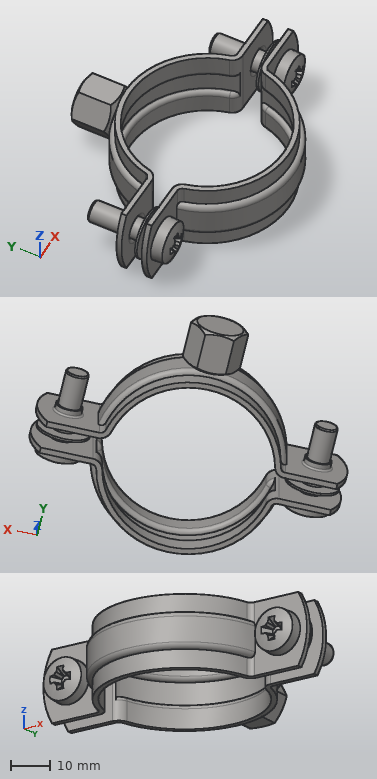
import cadquery as cq
import math


strap_width = 20.0
strap_thickness = 1.5
pipe_radius = 22.0
ring_radius = pipe_radius + strap_thickness
ear_gap = 5.8
ear_inner_y = ear_gap / 2
ear_outer_y = ear_inner_y + strap_thickness
clamp_length = 81.1
ear_tip_x = clamp_length / 2
ear_end_radius = 20.0
bend_inner_radius = 1.5
bend_outer_radius = bend_inner_radius + strap_thickness

bead_half_width = 5.0
bead_radius = ring_radius + strap_thickness
groove_half_width = 3.15
groove_lip_radius = 1.25

screw_x = 32.5
shaft_diameter = 6.0
shaft_tip_diameter = 5.5
shaft_tip_chamfer_length = 0.45
shaft_end_y = 15.5
head_base_diameter = 12.0
head_rim_diameter = 11.6
head_rim_y = -7.6
head_top_y = -9.0

recess_span = 6.8
recess_arm_width = 2.0
recess_floor_diameter = 2.6
recess_floor_arm_width = 1.2
recess_core_diameter = 4.0
recess_depth = 3.0

collar_diameter = 7.0
collar_end_y = 6.15
collar_fillet = 0.5
collar_mouth_radius = 1.2
washer_diameter = 14.0
washer_thickness = 0.6
washer_low_y = -1.0

nut_across_flats = 13.0
nut_corner_radius = nut_across_flats / math.sqrt(3)
nut_end_y = 36.0
nut_end_face_radius = 6.05
nut_seat_radius = 5.5
nut_lower_corner_y = 25.85
nut_chamfer_slope = math.tan(math.radians(30))


def revolve_about_y(profile):
    """Revolve a profile drawn in the XY plane about the Y axis."""
    return profile.close().revolve(360, (0, 0, 0), (0, 1, 0))


def above(y):
    """Large block holding everything beyond the given Y."""
    size = 2 * clamp_length
    return cq.Workplane("XY").box(size, size, size, centered=(True, False, True)).translate((0, y, 0))


def strap_outline():
    """Edge outline of one half: ear, bend, half ring, bend, ear."""
    bend_y = ear_outer_y + bend_inner_radius
    bend_distance = ring_radius + bend_inner_radius
    bend_x = math.sqrt(bend_distance**2 - bend_y**2)
    ring_angle = math.atan2(bend_y, bend_x)
    middle_angle = (math.pi + ring_angle + 1.5 * math.pi) / 2

    def ring_point(radius):
        return radius * math.cos(ring_angle), radius * math.sin(ring_angle)

    def bend_middle(radius):
        return bend_x + radius * math.cos(middle_angle), bend_y + radius * math.sin(middle_angle)

    def mirrored(point):
        return -point[0], point[1]

    outer_middle = bend_middle(bend_inner_radius)
    inner_middle = bend_middle(bend_outer_radius)
    outer_ring = ring_point(ring_radius)
    inner_ring = ring_point(pipe_radius)
    return (
        cq.Workplane("XY")
        .moveTo(ear_tip_x, ear_inner_y)
        .lineTo(ear_tip_x, ear_outer_y)
        .lineTo(bend_x, ear_outer_y)
        .threePointArc(outer_middle, outer_ring)
        .threePointArc((0, ring_radius), mirrored(outer_ring))
        .threePointArc(mirrored(outer_middle), (-bend_x, ear_outer_y))
        .lineTo(-ear_tip_x, ear_outer_y)
        .lineTo(-ear_tip_x, ear_inner_y)
        .lineTo(-bend_x, ear_inner_y)
        .threePointArc(mirrored(inner_middle), mirrored(inner_ring))
        .threePointArc((0, pipe_radius), inner_ring)
        .threePointArc(inner_middle, (bend_x, ear_inner_y))
        .close()
    )


def ear_end_envelope():
    """Block seen along Y as the strap with its two ends rounded."""
    ear_end_sagitta = ear_end_radius - math.sqrt(ear_end_radius**2 - (strap_width / 2) ** 2)
    corner_x = ear_tip_x - ear_end_sagitta
    corner_z = strap_width / 2
    return (
        cq.Workplane("XZ")
        .moveTo(-corner_x, -corner_z)
        .lineTo(corner_x, -corner_z)
        .threePointArc((ear_tip_x, 0), (corner_x, corner_z))
        .lineTo(-corner_x, corner_z)
        .threePointArc((-ear_tip_x, 0), (-corner_x, -corner_z))
        .close()
        .extrude(bead_radius, both=True)
    )


def bead_solid():
    """Raised band on the outside of the ring, rounded along both edges."""
    rounding = bead_radius - ring_radius
    diagonal = rounding * math.sqrt(0.5)
    flat_z = bead_half_width - rounding
    root_radius = (pipe_radius + ring_radius) / 2
    return (
        cq.Workplane("XZ")
        .moveTo(root_radius, -bead_half_width)
        .lineTo(ring_radius, -bead_half_width)
        .threePointArc((ring_radius + diagonal, -flat_z - diagonal), (bead_radius, -flat_z))
        .lineTo(bead_radius, flat_z)
        .threePointArc((ring_radius + diagonal, flat_z + diagonal), (ring_radius, bead_half_width))
        .lineTo(root_radius, bead_half_width)
        .close()
        .revolve(360, (0, 0, 0), (0, 1, 0))
    )


def groove_cutter():
    """Disc that hollows the inside of the strap behind the bead."""
    return (
        cq.Workplane("XZ")
        .moveTo(0, -groove_half_width)
        .lineTo(ring_radius, -groove_half_width)
        .lineTo(ring_radius, groove_half_width)
        .lineTo(0, groove_half_width)
        .close()
        .revolve(360, (0, 0, 0), (0, 1, 0))
    )


def half_strap():
    """The +Y half of the clamp band, with rounded lips along the groove."""
    strap = strap_outline().extrude(strap_width / 2, both=True).intersect(ear_end_envelope())
    bead = bead_solid().intersect(above(ear_outer_y))
    grooved = strap.union(bead).cut(groove_cutter())
    tolerance = 0.01
    lips = [
        edge
        for edge in grooved.edges("%CIRCLE").vals()
        if abs(abs(edge.Center().z) - groove_half_width) < tolerance
        and min(abs(edge.radius() - pipe_radius), abs(edge.radius() - bend_outer_radius)) < tolerance
    ]
    return grooved.newObject(lips).fillet(groove_lip_radius)


def screw_body():
    """Screw on the Y axis: domed head, shaft and chamfered tip."""
    shaft_radius = shaft_diameter / 2
    rim_radius = head_rim_diameter / 2
    dome_height = head_rim_y - head_top_y
    dome_radius = (rim_radius**2 + dome_height**2) / (2 * dome_height)
    dome_middle_x = rim_radius / 2
    dome_middle_y = head_top_y + dome_radius - math.sqrt(dome_radius**2 - dome_middle_x**2)
    profile = (
        cq.Workplane("XY")
        .moveTo(0, head_top_y)
        .threePointArc((dome_middle_x, dome_middle_y), (rim_radius, head_rim_y))
        .lineTo(head_base_diameter / 2, -ear_outer_y)
        .lineTo(shaft_radius, -ear_outer_y)
        .lineTo(shaft_radius, shaft_end_y - shaft_tip_chamfer_length)
        .lineTo(shaft_tip_diameter / 2, shaft_end_y)
        .lineTo(0, shaft_end_y)
    )
    return revolve_about_y(profile)


def recess_cutter():
    """Tapered cross recess: two crossed wedges around a conical core."""
    start = cq.Workplane("XZ", origin=(0, head_top_y, 0))

    def wedge(turn):
        arm = (
            start.rect(recess_span, recess_arm_width)
            .workplane(offset=-recess_depth)
            .rect(recess_floor_diameter, recess_floor_arm_width)
            .loft(ruled=True)
        )
        return arm.rotate((0, 0, 0), (0, 1, 0), turn)

    core = (
        start.circle(recess_core_diameter / 2)
        .workplane(offset=-recess_depth)
        .circle(recess_floor_diameter / 2)
        .loft(ruled=True)
    )
    return core.union(wedge(0)).union(wedge(90))


def collar():
    """Threaded collar standing on the +Y ear, filleted at its root."""
    radius = collar_diameter / 2
    root_arc_offset = collar_fillet * (1 - math.sqrt(0.5))
    profile = (
        cq.Workplane("XY")
        .moveTo(0, ear_outer_y)
        .lineTo(radius + collar_fillet, ear_outer_y)
        .threePointArc(
            (radius + root_arc_offset, ear_outer_y + root_arc_offset),
            (radius, ear_outer_y + collar_fillet),
        )
        .lineTo(radius, collar_end_y)
        .lineTo(0, collar_end_y)
    )
    return revolve_about_y(profile)


def collar_mouth(x):
    """Rounded mouth around the shaft where it enters the +Y ear."""
    shaft_radius = shaft_diameter / 2
    mouth_arc_offset = collar_mouth_radius * (1 - math.sqrt(0.5))
    profile = (
        cq.Workplane("XY")
        .moveTo(0, ear_inner_y)
        .lineTo(shaft_radius + collar_mouth_radius, ear_inner_y)
        .threePointArc(
            (shaft_radius + mouth_arc_offset, ear_inner_y + mouth_arc_offset),
            (shaft_radius, ear_inner_y + collar_mouth_radius),
        )
        .lineTo(0, ear_inner_y + collar_mouth_radius)
    )
    return revolve_about_y(profile).translate((x, 0, 0))


def washer():
    """Thin retaining washer on the shaft between the ears."""
    profile = cq.Workplane("XZ", origin=(0, washer_low_y, 0)).circle(washer_diameter / 2)
    return profile.extrude(-washer_thickness)


def fastener(x):
    """Screw with its recess, collar and washer, placed at the given X."""
    screw = screw_body().cut(recess_cutter())
    return screw.union(collar()).union(washer()).translate((x, 0, 0))


def nut():
    """Hexagonal nut whose conical lower end is seated on the bead."""
    seat_y = nut_lower_corner_y - (nut_corner_radius - nut_seat_radius) * nut_chamfer_slope
    upper_corner_y = nut_end_y - (nut_corner_radius - nut_end_face_radius) * nut_chamfer_slope
    hexagon = (
        cq.Workplane("XZ", origin=(0, seat_y, 0))
        .polygon(6, 2 * nut_corner_radius)
        .extrude(seat_y - nut_end_y)
    )
    envelope = (
        cq.Workplane("XY")
        .moveTo(0, seat_y)
        .lineTo(nut_seat_radius, seat_y)
        .lineTo(nut_corner_radius, nut_lower_corner_y)
        .lineTo(nut_corner_radius, upper_corner_y)
        .lineTo(nut_end_face_radius, nut_end_y)
        .lineTo(0, nut_end_y)
    )
    return hexagon.intersect(revolve_about_y(envelope))


upper_half = half_strap()
lower_half = upper_half.mirror("XZ")
result = upper_half.union(lower_half).union(nut())
for side in (-1, 1):
    fastener_x = side * screw_x
    result = result.cut(collar_mouth(fastener_x)).union(fastener(fastener_x))